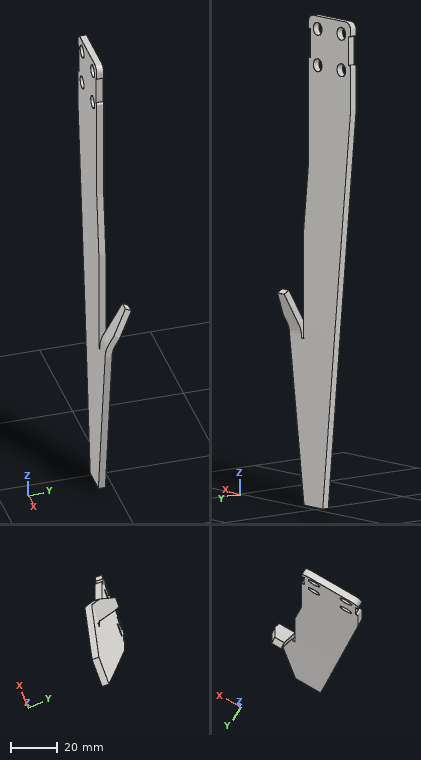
import cadquery as cq
import math

thickness = 3.2
length = 216.0
head_width = 28.5
widest_x = 41.2

neck_inset = 1.3
lip_z = 209.6
shoulder_z = 197.1
top_corner_radius = 3.2
notch_corner_radius = 0.9
hole_diameter = 5.6
hole_pitch = 16.0
upper_hole_z = 210.3

left_taper_z = 177.3
flare_top_z = 150.0
flare_bottom_z = 120.7
flare_x = 31.7
tip_left_x = 19.0
tip_right_x = 31.7

fold_z = 76.5
tip_lean = 0.2
fold_left_x = tip_left_x * (1 - fold_z / left_taper_z)

slit_width = 1.3
slit_bottom_z = 73.2
tab_bend_z = 74.0
tab_angle = 30.0
tab_outer_radius = 13.0
tab_straight = 16.8
tab_end_width = 4.7
tab_taper_length = 12.3
tab_left_x = flare_x + slit_width
tab_root_y = -tip_lean * (1 - tab_bend_z / fold_z)


def extrude_back(profile, depth):
    """Extrude an XZ profile from Y = 0 toward +Y."""
    return profile.extrude(-depth)


def front_profile(points):
    return cq.Workplane("XZ").polyline(points).close()


def straight_point(distance, offset):
    """(Y, Z) of a point on the straight tab, along it and behind its front face."""
    angle = math.radians(tab_angle)
    start_y, start_z = bend_point(tab_outer_radius, tab_angle)
    y = start_y + distance * math.sin(angle) + offset * math.cos(angle)
    z = start_z + distance * math.cos(angle) - offset * math.sin(angle)
    return y, z


def bend_point(radius, angle_degrees):
    """(Y, Z) of a point on the tab's bend, whose axis lies behind the sheet."""
    angle = math.radians(angle_degrees)
    y = tab_root_y + tab_outer_radius - radius * math.cos(angle)
    z = tab_bend_z + radius * math.sin(angle)
    return y, z


def make_upper_sheet():
    neck_right_x = head_width - neck_inset
    sheet = extrude_back(front_profile([
        (0, length),
        (head_width, length),
        (head_width, lip_z),
        (neck_right_x, lip_z),
        (neck_right_x, shoulder_z),
        (head_width, shoulder_z),
        (head_width, flare_top_z),
        (flare_x, flare_bottom_z),
        (flare_x, fold_z),
        (fold_left_x, fold_z),
        (0, left_taper_z),
        (0, shoulder_z),
        (neck_inset, shoulder_z),
        (neck_inset, lip_z),
        (0, lip_z),
    ]), thickness)
    rounded_levels = (
        (length, top_corner_radius),
        (lip_z, notch_corner_radius),
        (shoulder_z, notch_corner_radius),
    )
    for z, radius in rounded_levels:
        for x in (0, head_width):
            corner = cq.selectors.NearestToPointSelector((x, thickness / 2, z))
            sheet = sheet.edges("|Y").edges(corner).fillet(radius)
    return sheet


def make_lower_blade():
    """Tapered blade whose side section leans forward from the fold to the tip."""
    outline = extrude_back(front_profile([
        (fold_left_x, fold_z),
        (flare_x, fold_z),
        (flare_x, slit_bottom_z),
        (tab_left_x, slit_bottom_z),
        (tab_left_x, tab_bend_z),
        (widest_x, tab_bend_z),
        (tip_right_x, 0),
        (tip_left_x, 0),
    ]), thickness + tip_lean).translate((0, -tip_lean, 0))
    section = cq.Workplane("YZ").polyline([
        (0, fold_z),
        (thickness, fold_z),
        (thickness - tip_lean, 0),
        (-tip_lean, 0),
    ]).close().extrude(widest_x)
    return outline.intersect(section)


def make_tab():
    """Arc-bent tab with a tapered outer edge near its free end."""
    inner_radius = tab_outer_radius - thickness
    section = (
        cq.Workplane("YZ", origin=(tab_left_x, 0, 0))
        .moveTo(*bend_point(tab_outer_radius, 0))
        .threePointArc(
            bend_point(tab_outer_radius, tab_angle / 2),
            bend_point(tab_outer_radius, tab_angle),
        )
        .lineTo(*straight_point(tab_straight, 0))
        .lineTo(*straight_point(tab_straight, thickness))
        .lineTo(*bend_point(inner_radius, tab_angle))
        .threePointArc(
            bend_point(inner_radius, tab_angle / 2),
            bend_point(inner_radius, 0),
        )
        .close()
    )
    tab = section.extrude(widest_x - tab_left_x)

    tilted_face = cq.Plane(
        origin=(0, *straight_point(tab_straight, 0)),
        xDir=(1, 0, 0),
        normal=(0, -math.cos(math.radians(tab_angle)), math.sin(math.radians(tab_angle))),
    )
    corner_cut = (
        cq.Workplane(tilted_face)
        .polyline([
            (tab_left_x + tab_end_width, 0),
            (widest_x, 0),
            (widest_x, -tab_taper_length),
        ])
        .close()
        .extrude(-thickness)
    )
    return tab.cut(corner_cut)


def make_holes():
    lower_hole_z = upper_hole_z - hole_pitch
    left_hole_x = (head_width - hole_pitch) / 2
    centers = [
        (x, z)
        for x in (left_hole_x, left_hole_x + hole_pitch)
        for z in (upper_hole_z, lower_hole_z)
    ]
    return extrude_back(cq.Workplane("XZ").pushPoints(centers).circle(hole_diameter / 2), thickness)


result = make_upper_sheet().union(make_lower_blade()).union(make_tab()).cut(make_holes())